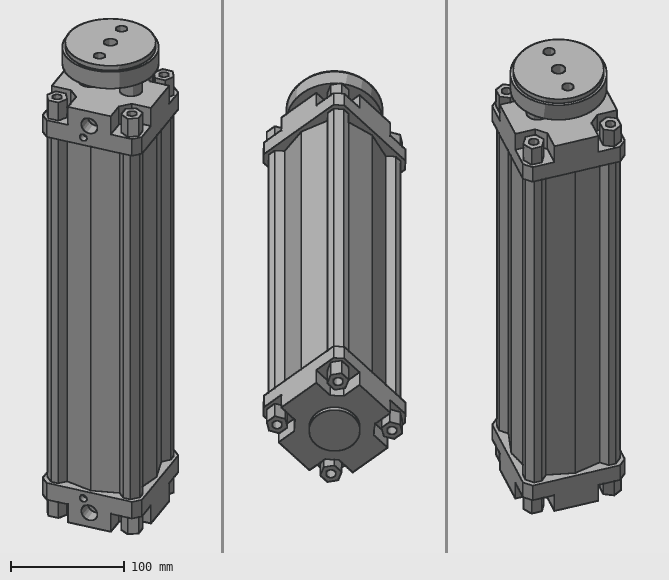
import cadquery as cq
import math

total_height = 478.0
spigot_height = 4.5
cap_height = 36.0
rod_length = 23.0
plate_height = 22.0
lower_cap_bottom = spigot_height
lower_cap_top = lower_cap_bottom + cap_height
plate_bottom = total_height - plate_height
upper_cap_top = plate_bottom - rod_length
upper_cap_bottom = upper_cap_top - cap_height
body_middle = (lower_cap_bottom + upper_cap_top) / 2

cap_width = 95.0
cap_chamfer = 6.5
web_width = 41.0
recess_depth = 18.5
recess_corner_cut = 8.5
spigot_diameter = 45.0

nut_offset = 36.0
nut_across_flats = 16.5
nut_hole_diameter = 8.5
nut_hole_depth = 14.5
nut_hole_tip_angle = 118

port_diameter = 15.5
port_depth = 14.5
port_inset = 15.0
screw_diameter = 6.5
screw_depth = 7.0
screw_inset = 28.0
screw_x = -5.5

tube_width = 88.5
tube_bevel = 6.0
tube_land = 6.5

plate_diameter = 85.0
plate_step_height = 5.0
plate_top_diameter = 80.0
rod_diameter = 20.0
rod_offset = 19.5
center_hole_diameter = 12.0
side_hole_diameter = 10.0
side_hole_offset = 25.0


def make_tube():
    """Extruded tube: each side has a shallow central ridge between two corner lands."""
    half = tube_width / 2
    bevel_start = half - tube_bevel
    land_start = bevel_start - tube_land
    valley = land_start - tube_bevel
    floor = half - tube_bevel
    side = [
        (-bevel_start, -half),
        (-land_start, -half),
        (-valley, -floor),
        (0, -half),
        (valley, -floor),
        (land_start, -half),
        (bevel_start, -half),
    ]
    outline = []
    for quarter in range(4):
        angle = quarter * math.pi / 2
        for x, y in side:
            turned_x = x * math.cos(angle) - y * math.sin(angle)
            turned_y = x * math.sin(angle) + y * math.cos(angle)
            outline.append((turned_x, turned_y))
    return (
        cq.Workplane("XY", origin=(0, 0, lower_cap_top))
        .polyline(outline)
        .close()
        .extrude(upper_cap_bottom - lower_cap_top)
    )


def make_recess():
    """Cutter for the corner recess at (-X, -Y), its inner corner beveled."""
    size = (cap_width - web_width) / 2
    inner = -web_width / 2
    return (
        cq.Workplane("XY", origin=(inner - size / 2, inner - size / 2, cap_height - recess_depth))
        .box(size, size, recess_depth, centered=(True, True, False))
        .edges("|Z and >X and >Y")
        .chamfer(recess_corner_cut)
    )


def make_nut():
    """Hexagonal nut at (-X, -Y), standing on the recess floor, with a drilled blind hole."""
    across_corners = nut_across_flats / math.cos(math.pi / 6)
    nut = (
        cq.Workplane("XY", origin=(-nut_offset, -nut_offset, cap_height - recess_depth))
        .polygon(6, across_corners)
        .extrude(recess_depth)
    )
    hole_radius = nut_hole_diameter / 2
    tip_height = hole_radius / math.tan(math.radians(nut_hole_tip_angle / 2))
    drill = (
        cq.Workplane("XZ", origin=(-nut_offset, -nut_offset, cap_height))
        .polyline([
            (0, 0),
            (hole_radius, 0),
            (hole_radius, -nut_hole_depth),
            (0, -nut_hole_depth - tip_height),
        ])
        .close()
        .revolve(360, (0, 0, 0), (0, 1, 0))
    )
    return nut.cut(drill)


def make_cap():
    """End cap with its inner face at Z = 0 and its outer face upward."""
    cap = (
        cq.Workplane("XY")
        .box(cap_width, cap_width, cap_height, centered=(True, True, False))
        .edges("|Z")
        .chamfer(cap_chamfer)
    )
    recess = make_recess()
    nut = make_nut()
    for quarter in range(4):
        angle = 90 * quarter
        cap = cap.cut(recess.rotate((0, 0, 0), (0, 0, 1), angle))
        cap = cap.union(nut.rotate((0, 0, 0), (0, 0, 1), angle))
    return cap


def front_hole(x, z, diameter, depth):
    """Cutter for a blind hole into the -Y face."""
    return cq.Workplane("XZ", origin=(x, -cap_width / 2, z)).circle(diameter / 2).extrude(-depth)


def make_housing():
    upper_cap = make_cap().translate((0, 0, upper_cap_bottom))
    lower_cap = upper_cap.mirror("XY", (0, 0, body_middle))
    spigot = cq.Workplane("XY").circle(spigot_diameter / 2).extrude(spigot_height)
    housing = make_tube().union(upper_cap).union(lower_cap).union(spigot)
    for z in (upper_cap_top - port_inset, lower_cap_bottom + port_inset):
        housing = housing.cut(front_hole(0, z, port_diameter, port_depth))
    for z in (upper_cap_top - screw_inset, lower_cap_bottom + screw_inset):
        housing = housing.cut(front_hole(screw_x, z, screw_diameter, screw_depth))
    return housing


def make_piston():
    """Round plate carried on two rods that end at the upper cap face."""
    step_bottom = total_height - plate_step_height
    plate = (
        cq.Workplane("XY", origin=(0, 0, plate_bottom))
        .circle(plate_diameter / 2)
        .extrude(plate_height - plate_step_height)
    )
    raised_top = (
        cq.Workplane("XY", origin=(0, 0, step_bottom))
        .circle(plate_top_diameter / 2)
        .extrude(plate_step_height)
    )
    rods = (
        cq.Workplane("XY", origin=(0, 0, upper_cap_top))
        .pushPoints([(-rod_offset, 0), (rod_offset, 0)])
        .circle(rod_diameter / 2)
        .extrude(rod_length)
    )
    center_hole = (
        cq.Workplane("XY", origin=(0, 0, plate_bottom))
        .circle(center_hole_diameter / 2)
        .extrude(plate_height)
    )
    side_holes = (
        cq.Workplane("XY", origin=(0, 0, plate_bottom))
        .pushPoints([(0, -side_hole_offset), (0, side_hole_offset)])
        .circle(side_hole_diameter / 2)
        .extrude(plate_height)
    )
    return plate.union(raised_top).union(rods).cut(center_hole).cut(side_holes)


housing = make_housing()
piston = make_piston()
result = cq.Compound.makeCompound([housing.val(), piston.val()])